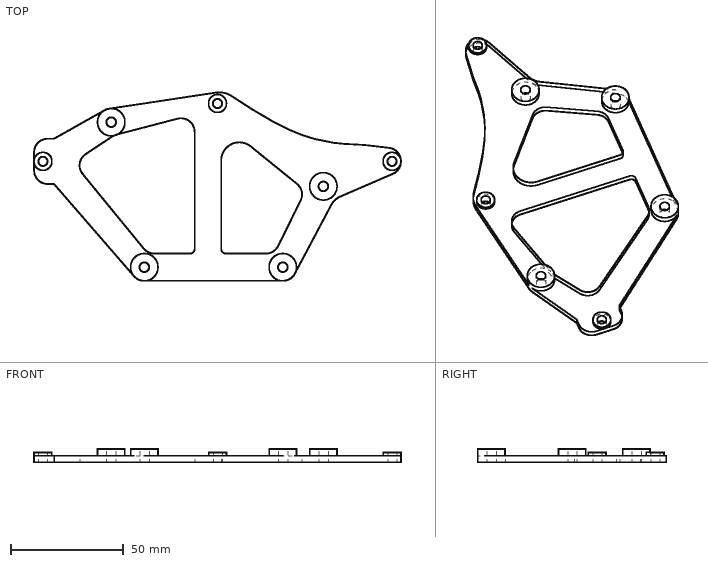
import cadquery as cq
import math

plate_thickness = 3.0
small_boss_height = 4.4
large_boss_height = 6.0

small_boss_diameter = 8.0
small_hole_diameter = 4.0
large_boss_diameter = 12.2
large_hole_diameter = 4.2
small_boss_radius = small_boss_diameter / 2
large_boss_radius = large_boss_diameter / 2

small_boss_span = 155.0
left_boss = (0.0, 0.0)
right_boss = (small_boss_span, 0.0)
crest_boss = (small_boss_span / 2, 25.7)
upper_boss = (30.3, 17.4)
lower_left_boss = (45.0, -47.0)
lower_right_boss = (106.5, -47.0)
inner_right_boss = (124.5, -11.1)
small_bosses = [left_boss, right_boss, crest_boss]
large_bosses = [upper_boss, lower_left_boss, lower_right_boss, inner_right_boss]

end_radius = large_boss_radius
end_inset = end_radius - small_boss_radius
tab_half_width = 10.1
tab_corner_offset = tab_half_width - end_radius
tab_neck_x = 4.9
crest_radius = 10.0
crest_centre = (78.3, 20.7)
neck_radius = 8.0
neck_centre = (135.15, -23.05)

tip_slope = 8.0
crest_slope = 34.0
sweep_points = [(143.0, 7.3), (131.5, 8.0), (115.8, 11.5), (98.1, 20.0)]

web_left_x = 67.3
web_right_x = 79.2
window_floor_y = lower_left_boss[1] + large_boss_radius
window_radius = 6.0
web_foot_radius = 2.0
window_peak_radius = 8.0
left_window_tip = (22.3, -1.8)
left_window_bend = (34.1, 6.0)
left_window_top_y = 13.1
left_window_floor_x = 49.4
right_window_floor_x = 99.0
right_window_tip = (109.0, -14.7)
right_window_peak_y = 0.4


def tangent_heading(start, finish):
    """Heading of the straight edge that touches two consecutive corner circles."""
    (start_x, start_y), start_radius = start
    (finish_x, finish_y), finish_radius = finish
    run = finish_x - start_x
    rise = finish_y - start_y
    lean = math.asin((start_radius - finish_radius) / math.hypot(run, rise))
    return math.atan2(rise, run) + lean


def point_on_corner(corner, heading):
    """Point of a corner circle where the outline travels along the given heading."""
    (x, y), radius = corner
    return (x + radius * math.sin(heading), y - radius * math.cos(heading))


def tangent_path(corners, first_heading, last_heading):
    """Open outline of arcs joined by tangent lines, entered and left at the given headings.

    Each corner is (centre, radius): positive turns left, negative turns right, zero is sharp.
    """
    edges = [tangent_heading(start, end) for start, end in zip(corners, corners[1:])]
    headings = [first_heading] + edges + [last_heading]
    outline = cq.Workplane("XY").moveTo(*point_on_corner(corners[0], first_heading))
    for i, corner in enumerate(corners):
        heading_in = headings[i]
        heading_out = headings[i + 1]
        if i > 0:
            outline = outline.lineTo(*point_on_corner(corner, heading_in))
        if corner[1] != 0:
            turn = math.remainder(heading_out - heading_in, math.tau)
            middle = point_on_corner(corner, heading_in + turn / 2)
            outline = outline.threePointArc(middle, point_on_corner(corner, heading_out))
    return outline


def tangent_loop(corners):
    """Closed counter-clockwise outline of arcs joined by tangent lines."""
    closing_heading = tangent_heading(corners[-1], corners[0])
    return tangent_path(corners, closing_heading, closing_heading).close()


def direction(heading):
    return (math.cos(heading), math.sin(heading))


def plate_blank():
    tab_corner_x = left_boss[0] + end_inset
    crest = (crest_centre, crest_radius)
    corners = [
        crest,
        (upper_boss, large_boss_radius),
        ((tab_neck_x, tab_half_width), 0),
        ((tab_corner_x, tab_corner_offset), end_radius),
        ((tab_corner_x, -tab_corner_offset), end_radius),
        ((tab_neck_x, -tab_half_width), 0),
        (lower_left_boss, large_boss_radius),
        (lower_right_boss, large_boss_radius),
        (neck_centre, -neck_radius),
        ((right_boss[0] - end_inset, right_boss[1]), end_radius),
    ]
    crest_heading = math.radians(180 - crest_slope)
    tip_heading = math.radians(180 - tip_slope)
    outline = tangent_path(corners, crest_heading, tip_heading)
    outline = outline.spline(
        sweep_points + [point_on_corner(crest, crest_heading)],
        tangents=[direction(tip_heading), direction(crest_heading)],
        includeCurrent=True,
    )
    return outline.close().extrude(plate_thickness)


def left_window():
    corners = [
        ((left_window_floor_x, window_floor_y + window_radius), window_radius),
        ((web_left_x - web_foot_radius, window_floor_y + web_foot_radius), web_foot_radius),
        ((web_left_x - window_radius, left_window_top_y), window_radius),
        (left_window_bend, window_radius),
        (left_window_tip, window_radius),
    ]
    return tangent_loop(corners).extrude(plate_thickness)


def right_window():
    corners = [
        ((web_right_x + web_foot_radius, window_floor_y + web_foot_radius), web_foot_radius),
        ((right_window_floor_x, window_floor_y + window_radius), window_radius),
        (right_window_tip, window_radius),
        ((web_right_x + window_peak_radius, right_window_peak_y), window_peak_radius),
    ]
    return tangent_loop(corners).extrude(plate_thickness)


def cylinders(centres, diameter, height):
    return cq.Workplane("XY").pushPoints(centres).circle(diameter / 2).extrude(height)


result = plate_blank().cut(left_window()).cut(right_window())
result = result.union(cylinders(small_bosses, small_boss_diameter, small_boss_height))
result = result.union(cylinders(large_bosses, large_boss_diameter, large_boss_height))
result = result.cut(cylinders(small_bosses, small_hole_diameter, small_boss_height))
result = result.cut(cylinders(large_bosses, large_hole_diameter, large_boss_height))